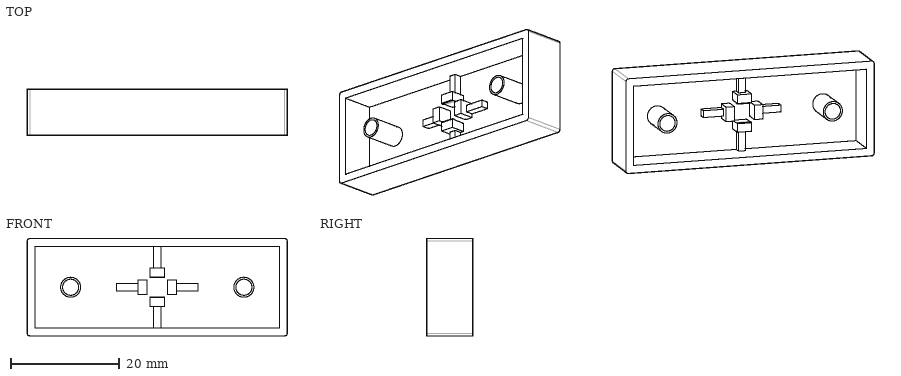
import cadquery as cq

LENGTH = 48.0
DEPTH = 8.5
HEIGHT = 18.0
WALL = 1.5
FLOOR_THICKNESS = 2.0
CORNER_RADIUS = 0.5

POST_DIAMETER = 3.7
PIN_DIAMETER = 3.0
POST_OFFSET = 16.0
POST_HEIGHT = 6.5

BLOCK_INNER = 1.9
BLOCK_OUTER = 3.55
BLOCK_WIDTH = 2.75
BLOCK_HEIGHT = 3.0
RIB_WIDTH = 1.3
RIB_HEIGHT = 1.5
SIDE_RIB_END = 7.5

CATCH_DEPTH = 0.15
CATCH_CREST_SETBACK = 0.1
CATCH_LENGTH = 0.9

CAVITY_LENGTH = LENGTH - 2 * WALL
CAVITY_HEIGHT = HEIGHT - 2 * WALL
FLOOR_Y = DEPTH / 2 - FLOOR_THICKNESS
POST_CENTRES = [(-POST_OFFSET, 0), (POST_OFFSET, 0)]


def floor_plane():
    """Workplane on the tray floor: local x is X, local y is Z, extrusion goes toward -Y."""
    return cq.Workplane("XZ", origin=(0, FLOOR_Y, 0))


def make_tray():
    shell = (
        cq.Workplane("XY")
        .box(LENGTH, DEPTH, HEIGHT)
        .edges("|Y")
        .fillet(CORNER_RADIUS)
    )
    cavity = floor_plane().rect(CAVITY_LENGTH, CAVITY_HEIGHT).extrude(DEPTH - FLOOR_THICKNESS)
    return shell.cut(cavity)


def make_locator(rib_end, has_catch):
    """Block and rib pointing along +X from the centre."""
    block_length = BLOCK_OUTER - BLOCK_INNER
    block = (
        floor_plane()
        .center((BLOCK_INNER + BLOCK_OUTER) / 2, 0)
        .rect(block_length, BLOCK_WIDTH)
        .extrude(BLOCK_HEIGHT)
    )
    rib_length = rib_end - BLOCK_OUTER
    rib = (
        floor_plane()
        .center((BLOCK_OUTER + rib_end) / 2, 0)
        .rect(rib_length, RIB_WIDTH)
        .extrude(RIB_HEIGHT)
    )
    locator = block.union(rib)
    if has_catch:
        top_y = FLOOR_Y - BLOCK_HEIGHT
        catch = (
            cq.Workplane("XY", origin=(0, 0, -BLOCK_WIDTH / 2))
            .moveTo(BLOCK_INNER, top_y)
            .lineTo(BLOCK_INNER - CATCH_DEPTH, top_y + CATCH_CREST_SETBACK)
            .lineTo(BLOCK_INNER, top_y + CATCH_LENGTH)
            .close()
            .extrude(BLOCK_WIDTH)
        )
        locator = locator.union(catch)
    return locator


def make_housing():
    housing = make_tray()
    for angle in (0, 180):
        side_locator = make_locator(SIDE_RIB_END, has_catch=False)
        housing = housing.union(side_locator.rotate((0, 0, 0), (0, 1, 0), angle))
    for angle in (90, 270):
        wall_locator = make_locator(CAVITY_HEIGHT / 2, has_catch=True)
        housing = housing.union(wall_locator.rotate((0, 0, 0), (0, 1, 0), angle))
    posts = floor_plane().pushPoints(POST_CENTRES).circle(POST_DIAMETER / 2).extrude(POST_HEIGHT)
    bores = floor_plane().pushPoints(POST_CENTRES).circle(PIN_DIAMETER / 2).extrude(POST_HEIGHT)
    return housing.union(posts).cut(bores)


def make_pin(centre):
    return floor_plane().center(*centre).circle(PIN_DIAMETER / 2).extrude(POST_HEIGHT)


housing = make_housing()
pins = [make_pin(centre) for centre in POST_CENTRES]

result = cq.Compound.makeCompound([housing.val(), *[pin.val() for pin in pins]])